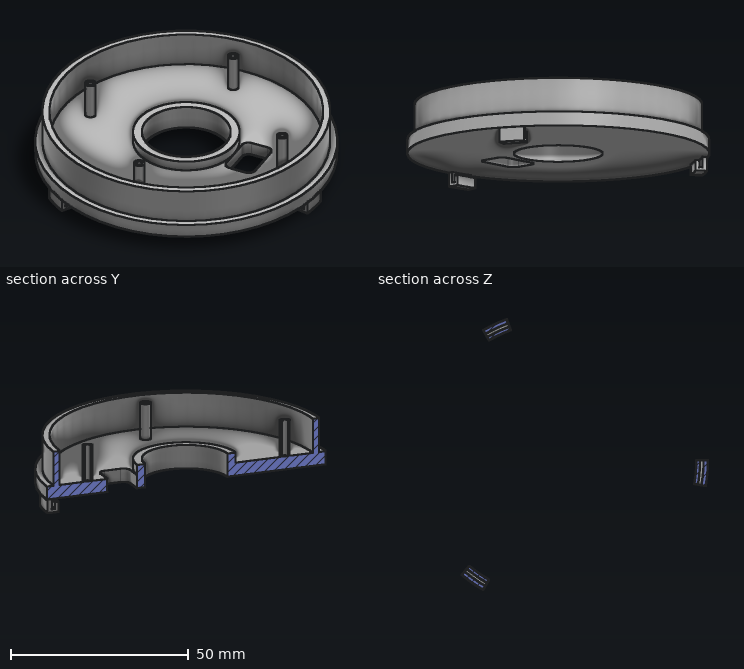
import cadquery as cq

flange_height = 4.0
wall_height = 10.0
pin_overshoot = 0.5
pin_height = wall_height + pin_overshoot
collar_height = 3.0

flange_diameter = 85
wall_outer_diameter = 81.0
wall_inner_diameter = 77.0
collar_diameter = 30.0
bore_diameter = 25.0

pin_count = 4
pin_circle_radius = 30.0
pin_diameter = 3.0
pin_hole_diameter = 1.6

window_length_x = 9.0
window_length_y = 14.0
window_corner_radius = 2.0
window_center_x = (collar_diameter + window_length_x) / 2

hook_count = 3
hook_sweep_angle = 10
hook_height = 4.0
hook_outer_radius = 42.2
hook_stem_thickness = 1.3
hook_groove_width = 0.9
hook_lip_thickness = 1.1
hook_base_thickness = 1.0
hook_lip_gap = 1.0
hook_overlap = 0.4


def disc(diameter, height, base_z=0):
    return cq.Workplane("XY", origin=(0, 0, base_z)).circle(diameter / 2).extrude(height)


def make_base():
    flange = disc(flange_diameter, flange_height)
    wall = disc(wall_outer_diameter, wall_height, flange_height)
    recess = disc(wall_inner_diameter, wall_height, flange_height)
    return flange.union(wall).cut(recess)


def make_window():
    return (
        cq.Workplane("XY")
        .center(window_center_x, 0)
        .rect(window_length_x, window_length_y)
        .extrude(flange_height)
        .edges("|Z")
        .fillet(window_corner_radius)
    )


def make_pins(diameter):
    return (
        cq.Workplane("XY", origin=(0, 0, flange_height))
        .polarArray(pin_circle_radius, 0, 360, pin_count)
        .circle(diameter / 2)
        .extrude(pin_height)
    )


def make_hook(start_angle):
    stem_inner = hook_outer_radius - hook_stem_thickness
    lip_outer = stem_inner - hook_groove_width
    lip_inner = lip_outer - hook_lip_thickness
    groove_floor = hook_base_thickness - hook_height
    section = [
        (hook_outer_radius, hook_overlap),
        (hook_outer_radius, -hook_height),
        (lip_inner, -hook_height),
        (lip_inner, -hook_lip_gap),
        (lip_outer, -hook_lip_gap),
        (lip_outer, groove_floor),
        (stem_inner, groove_floor),
        (stem_inner, hook_overlap),
    ]
    return (
        cq.Workplane("XZ")
        .polyline(section)
        .close()
        .revolve(hook_sweep_angle, (0, 0), (0, -1))
        .rotate((0, 0, 0), (0, 0, 1), start_angle)
    )


result = make_base()
result = result.union(disc(collar_diameter, collar_height, flange_height))
result = result.cut(disc(bore_diameter, flange_height + collar_height))
result = result.cut(make_window())
result = result.union(make_pins(pin_diameter)).cut(make_pins(pin_hole_diameter))
for hook_index in range(hook_count):
    result = result.union(make_hook(hook_index * 360 / hook_count))